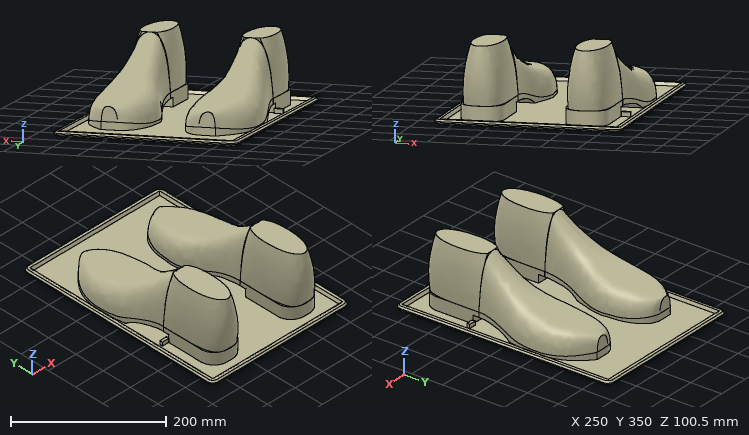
import cadquery as cq

TRAY_WIDTH = 250.0
TRAY_LENGTH = 350.0
TRAY_HEIGHT = 6.5
FLOOR_Z = 2.0
CORNER_RADIUS = 10.0
RIM_CHAMFER = 2.5
RIM_FLAT = 5.0
RIM_SLOPE = 2.8

STOP_TOP_Z = 8.5
STOP_WIDTH = 4.5
STOP_OUTER_X = 110.2

PAIR_SHIFT_X = -0.7
HEEL_CENTER_X = 69.5
RIDGE_X = 68.2
TOP_Z = 100.5
SEAM_TOE_Y = 51.8
SEAM_ANKLE_Y = -58.0
SEAM_HEEL_Y = -96.5

HEEL_HALF_WIDTH = 28.7
HEEL_FRONT_Y = -68.0
HEEL_BACK_Y = -151.0
HEEL_CORNER_RADIUS = 24.0
HEEL_TOP_Z = 22.5
SHANK_Z = 14.7

BALL_SECTION = (SEAM_TOE_Y, 113.5, 21.7, 45.5, 0.75, 0.66)
TOE_SECTIONS = [
    BALL_SECTION,
    (70.0, 110.2, 23.0, 43.0, 0.75, 0.68),
    (87.5, 103.5, 26.5, 40.5, 0.75, 0.7),
    (105.0, 91.5, 35.0, 37.0, 0.75, 0.72),
    (113.5, 83.3, 43.0, 34.5, 0.75, 0.72),
    (118.3, 77.7, 54.5, 33.0, 0.75, 0.72),
]
INSTEP_SECTIONS = [
    BALL_SECTION,
    (28.0, 113.0, 25.0, 50.5, 0.77, 0.65),
    (0.0, 109.2, 33.5, 60.5, 0.78, 0.62),
    (-28.0, 103.0, 39.2, 77.0, 0.78, 0.58),
    (SEAM_ANKLE_Y, HEEL_CENTER_X + HEEL_HALF_WIDTH, HEEL_CENTER_X - HEEL_HALF_WIDTH, TOP_Z, 0.8, 0.52),
]

ANKLE_OUTLINES = [
    (HEEL_TOP_Z, HEEL_HALF_WIDTH, HEEL_HALF_WIDTH, -151.5, 0.86, 0.66),
    (50.8, 26.0, 28.7, -154.7, 0.82, 0.64),
    (77.0, 20.3, 26.0, -153.0, 0.77, 0.58),
    (TOP_Z, 10.5, 20.3, -147.7, 0.68, 0.5),
]
ANKLE_BEND = 10.5

TOE_CLEARANCE_Y = 140.0
BACK_CLEARANCE_Y = -175.0
SOLE_TOP_POINTS = [
    (TOE_CLEARANCE_Y, 17.0), (114.5, 12.0), (84.0, 7.5), (42.0, 6.0),
    (10.5, 8.5), (-14.0, 15.5), (-35.0, 20.3), (SEAM_ANKLE_Y, HEEL_TOP_Z),
]
SHANK_POINTS = [(-49.0, SHANK_Z), (-31.5, 13.0), (-15.5, 9.8), (0.0, FLOOR_Z)]


def make_tray():
    """Shallow tray with rounded corners, a chamfered rim, a sloped inner wall and two heel stops."""
    tray = cq.Workplane("XY").box(TRAY_WIDTH, TRAY_LENGTH, TRAY_HEIGHT, centered=(True, True, False))
    tray = tray.edges("|Z").fillet(CORNER_RADIUS).faces("<Z or >Z").edges().chamfer(RIM_CHAMFER)
    rim_width = RIM_CHAMFER + RIM_FLAT
    floor_margin = rim_width + RIM_SLOPE
    recess = (
        cq.Workplane("XY").workplane(offset=FLOOR_Z)
        .rect(TRAY_WIDTH - 2 * floor_margin, TRAY_LENGTH - 2 * floor_margin)
        .workplane(offset=TRAY_HEIGHT - FLOOR_Z)
        .rect(TRAY_WIDTH - 2 * rim_width, TRAY_LENGTH - 2 * rim_width)
        .loft(ruled=True)
    )
    tray = tray.cut(recess)
    stop_inner_x = HEEL_CENTER_X + HEEL_HALF_WIDTH
    for side in (-1, 1):
        stop = (
            cq.Workplane("XY")
            .box(STOP_OUTER_X - stop_inner_x, STOP_WIDTH, STOP_TOP_Z, centered=(True, False, False))
            .translate((side * (STOP_OUTER_X + stop_inner_x) / 2, HEEL_FRONT_Y, 0))
        )
        tray = tray.union(stop)
    return tray


def cross_section(y, outer_x, inner_x, top_z, side_fullness, crown_fullness):
    """Arched closed outline across the shoe, upright at the floor and level at the ridge."""
    rise_z = FLOOR_Z + side_fullness * (top_z - FLOOR_Z)
    ridge = cq.Vector(RIDGE_X, y, top_z)
    halves = []
    for edge_x in (outer_x, inner_x):
        crown_x = RIDGE_X + crown_fullness * (edge_x - RIDGE_X)
        base = cq.Vector(edge_x, y, FLOOR_Z)
        halves.append(cq.Edge.makeBezier([
            base, cq.Vector(edge_x, y, rise_z), cq.Vector(crown_x, y, top_z), ridge,
        ]))
    sole_line = cq.Edge.makeLine(cq.Vector(inner_x, y, FLOOR_Z), cq.Vector(outer_x, y, FLOOR_Z))
    return cq.Wire.assembleEdges([sole_line, halves[0], halves[1]])


def ankle_outline(z, front_half, middle_half, back_y, side_fullness, back_fullness):
    """Closed level outline of the ankle: straight front, bowed sides, round back."""
    control_y = SEAM_HEEL_Y + side_fullness * (back_y - SEAM_HEEL_Y)
    back = cq.Vector(HEEL_CENTER_X, back_y, z)
    sides = []
    backs = []
    for side in (-1, 1):
        front_x = HEEL_CENTER_X + side * front_half
        middle_x = HEEL_CENTER_X + side * middle_half
        back_x = HEEL_CENTER_X + side * back_fullness * middle_half
        middle = cq.Vector(middle_x, SEAM_HEEL_Y, z)
        sides.append(cq.Edge.makeBezier([
            cq.Vector(front_x, SEAM_ANKLE_Y, z), cq.Vector(middle_x, SEAM_ANKLE_Y - ANKLE_BEND, z), middle,
        ]))
        backs.append(cq.Edge.makeBezier([
            middle, cq.Vector(middle_x, control_y, z), cq.Vector(back_x, back_y, z), back,
        ]))
    front = cq.Edge.makeLine(sides[1].startPoint(), sides[0].startPoint())
    return cq.Wire.assembleEdges([front, sides[0], backs[0], backs[1], sides[1]])


def make_forefoot():
    """Toe cap and instep from the floor up, reaching back to the ankle."""
    toe = cq.Solid.makeLoft([cross_section(*section) for section in TOE_SECTIONS])
    instep = cq.Solid.makeLoft([cross_section(*section) for section in INSTEP_SECTIONS])
    return cq.Workplane(obj=toe).union(cq.Workplane(obj=instep))


def make_ankle():
    """Ankle and heel cup standing on the heel block."""
    return cq.Workplane(obj=cq.Solid.makeLoft([ankle_outline(*level) for level in ANKLE_OUTLINES]))


def make_heel_block():
    """Heel prism with rounded back corners, reaching forward to the ankle seam."""
    return (
        cq.Workplane("XY").workplane(offset=FLOOR_Z)
        .center(HEEL_CENTER_X, (SEAM_ANKLE_Y + HEEL_BACK_Y) / 2)
        .rect(2 * HEEL_HALF_WIDTH, SEAM_ANKLE_Y - HEEL_BACK_Y)
        .extrude(HEEL_TOP_Z - FLOOR_Z)
        .edges("|Z and <Y").fillet(HEEL_CORNER_RADIUS)
    )


def below_sole_top():
    """Everything under the upper edge of the sole."""
    return (
        cq.Workplane("YZ").moveTo(TOE_CLEARANCE_Y, 0).lineTo(*SOLE_TOP_POINTS[0])
        .spline(SOLE_TOP_POINTS[1:], includeCurrent=True)
        .lineTo(BACK_CLEARANCE_Y, HEEL_TOP_Z).lineTo(BACK_CLEARANCE_Y, 0).close()
        .extrude(TRAY_WIDTH / 2)
    )


def arch_space():
    """Open space under the arch, between the ball of the foot and the heel block."""
    return (
        cq.Workplane("YZ").moveTo(HEEL_FRONT_Y, 0).lineTo(HEEL_FRONT_Y, SHANK_Z)
        .lineTo(*SHANK_POINTS[0]).spline(SHANK_POINTS[1:], includeCurrent=True)
        .lineTo(SHANK_POINTS[-1][0], 0).close()
        .extrude(TRAY_WIDTH / 2)
    )


def make_upper():
    """Foot form from the sole up to the ankle top."""
    return make_forefoot().cut(below_sole_top()).union(make_ankle())


def make_sole():
    """Sole with its arch and heel block, standing on the tray floor."""
    front_sole = make_forefoot().intersect(below_sole_top())
    return front_sole.union(make_heel_block()).cut(arch_space())


def placed_pair(shoe_part):
    """The part on the +X shoe and its mirrored copy on the -X shoe."""
    copies = []
    for placed in (shoe_part, shoe_part.mirror("YZ")):
        copies.append(placed.translate((PAIR_SHIFT_X, 0, 0)).solids().val())
    return copies


tray = make_tray()
uppers = placed_pair(make_upper())
soles = placed_pair(make_sole())

result = cq.Compound.makeCompound([tray.solids().val(), *uppers, *soles])